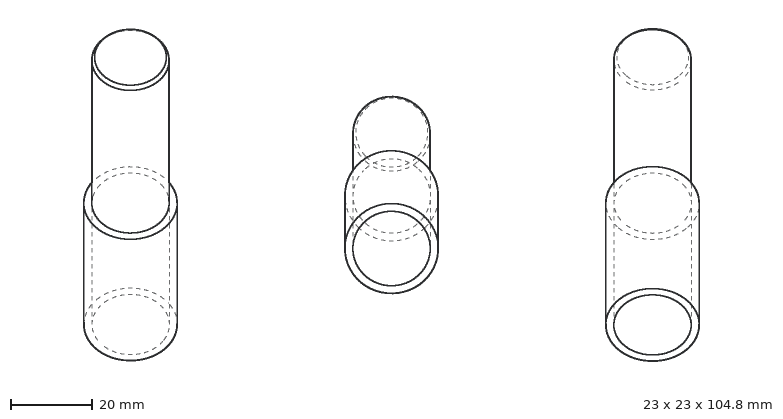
import cadquery as cq
import math

INCH = 25.4
pin_diameter = 3 / 4 * INCH
pin_length = (4 + 1 / 8) * INCH
pin_chamfer_height = 3 / 64 * INCH
pin_chamfer_angle = 30
pin_chamfer_width = pin_chamfer_height * math.tan(math.radians(pin_chamfer_angle))
sleeve_diameter = 29 / 32 * INCH
sleeve_length = (1 + 7 / 8) * INCH


def make_pin():
    """Straight round pin standing on Z = 0, chamfered at its upper end."""
    return (
        cq.Workplane("XY")
        .circle(pin_diameter / 2)
        .extrude(pin_length)
        .faces(">Z")
        .chamfer(pin_chamfer_height, pin_chamfer_width)
    )


def make_sleeve():
    """Plain sleeve around the lower part of the pin, flush with its lower end."""
    return (
        cq.Workplane("XY")
        .circle(sleeve_diameter / 2)
        .circle(pin_diameter / 2)
        .extrude(sleeve_length)
    )


pin = make_pin()
sleeve = make_sleeve()

result = cq.Compound.makeCompound([pin.val(), sleeve.val()])